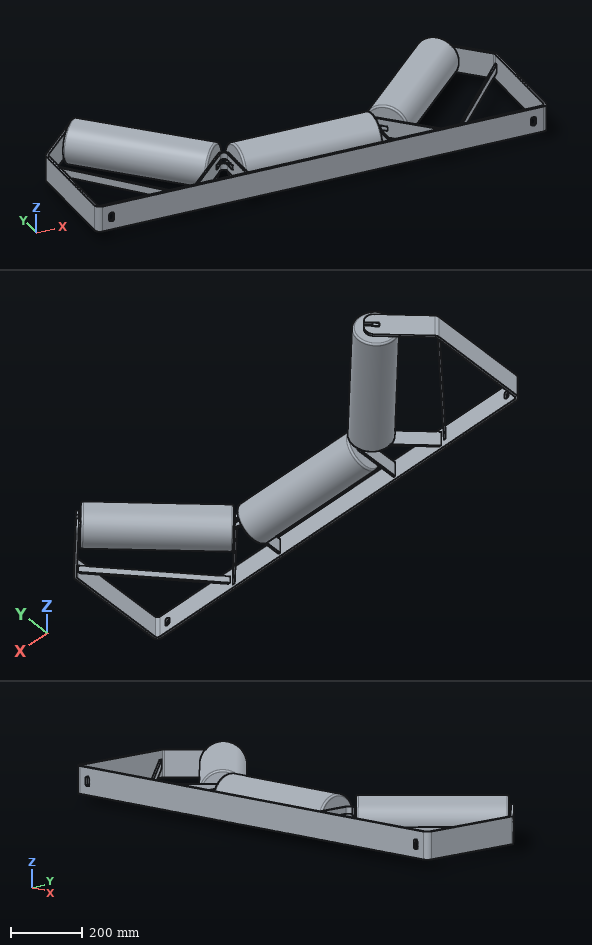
import cadquery as cq
import math


FRAME_LENGTH = 1400.0
FRAME_WIDTH = 80.0
FRAME_THICKNESS = 8.0
FRAME_BEND_RADIUS = 17.0
WALL_HEIGHT = 340.0
ARM_TIP_Y = 486.0
ARM_TIP_RADIUS = 30.0
MOUNT_SLOT_WIDTH = 17.0
MOUNT_SLOT_HEIGHT = 28.0
MOUNT_SLOT_INSET = 46.0

ROLLER_DIAMETER = 133.0
ROLLER_LENGTH = 428.0
ROLLER_EDGE_RADIUS = 5.0
TROUGH_ANGLE = 45.0
CENTRE_ROLLER_Y = 125.0
WING_ROLLER_X = 417.0
WING_ROLLER_Y = 301.0
SHAFT_DIAMETER = 21.0
SHAFT_FLATS = 14.0
SHAFT_LENGTH = 451.0

BRACKET_WIDTH = 55.0
BRACKET_THICKNESS = 6.0
BRACKET_BEND_RADIUS = 17.0
BRACKET_GAP = 4.0
NOTCH_DEPTH = 25.0
NOTCH_HEIGHT = 56.0

BRACE_WIDTH = 25.0
BRACE_THICKNESS = 6.0
BRACE_TOP_Y = 332.0
BRACE_FOOT_X = 412.0

LEG_FACE_DISTANCE = ROLLER_LENGTH / 2 + BRACKET_GAP
HALF_LENGTH = FRAME_LENGTH / 2
SIN = math.sin(math.radians(TROUGH_ANGLE))
COS = math.cos(math.radians(TROUGH_ANGLE))
TAN = math.tan(math.radians(TROUGH_ANGLE))


def slab(outline, width):
    """Extrude an XY outline symmetrically about Z = 0."""
    return outline.extrude(width / 2, both=True)


def offset_corner(before, corner, after, distance):
    """Point where both lines meeting at a corner cross once shifted to their left."""
    angle_in = math.atan2(corner[1] - before[1], corner[0] - before[0])
    angle_out = math.atan2(after[1] - corner[1], after[0] - corner[0])
    half_turn = math.remainder(angle_out - angle_in, 2 * math.pi) / 2
    reach = distance / math.cos(half_turn)
    normal = angle_in + half_turn + math.pi / 2
    return (corner[0] + reach * math.cos(normal), corner[1] + reach * math.sin(normal))


def bent_bar(outer, thickness, width, bend_radius):
    """Flat bar folded along its outer face, with the material to the left of the path."""
    starts = [(2 * outer[0][0] - outer[1][0], 2 * outer[0][1] - outer[1][1])] + outer[:-1]
    ends = outer[1:] + [(2 * outer[-1][0] - outer[-2][0], 2 * outer[-1][1] - outer[-2][1])]
    inner = [offset_corner(a, b, c, thickness) for a, b, c in zip(starts, outer, ends)]
    bar = slab(cq.Workplane("XY").polyline(outer + inner[::-1]).close(), width)
    for face, radius in ((outer, bend_radius), (inner, bend_radius - thickness)):
        for x, y in face[1:-1]:
            bar = bar.edges(cq.selectors.NearestToPointSelector((x, y, 0))).fillet(radius)
    return bar


def mirror_x(body):
    """Copy of a body reflected about X = 0."""
    return body.mirror("YZ")


def place_wing(body):
    """Move a body from the origin onto the axis of the right-hand wing roller."""
    tilted = body.rotate((0, 0, 0), (0, 0, 1), TROUGH_ANGLE)
    return tilted.translate((WING_ROLLER_X, WING_ROLLER_Y, 0))


def place_centre(body):
    """Move a body from the origin onto the axis of the centre roller."""
    return body.translate((0, CENTRE_ROLLER_Y, 0))


def rod(diameter, length):
    """Cylinder along X, centred on the origin."""
    return cq.Workplane("YZ", origin=(-length / 2, 0, 0)).circle(diameter / 2).extrude(length)


def shaft(length):
    """Shaft along X with a flat above and below."""
    flats = cq.Workplane("XY").box(length, SHAFT_DIAMETER, SHAFT_FLATS)
    return rod(SHAFT_DIAMETER, length).intersect(flats)


def roller():
    """Roller along X, centred on the origin, with its shaft."""
    shell = rod(ROLLER_DIAMETER, ROLLER_LENGTH)
    return shell.faces("<X or >X").edges().fillet(ROLLER_EDGE_RADIUS).union(shaft(SHAFT_LENGTH))


def shaft_notches():
    """Seat of a shaft at both ends of a roller along X, open towards +Y."""
    opening = cq.Workplane("XY").box(NOTCH_DEPTH, NOTCH_HEIGHT, SHAFT_FLATS, centered=(False, False, True))
    opening = opening.translate((LEG_FACE_DISTANCE, 0, 0))
    seat = shaft(2 * (LEG_FACE_DISTANCE + NOTCH_DEPTH))
    return seat.union(opening).union(mirror_x(opening))


def cut_notches(body):
    """Cut the shaft seats of all three rollers."""
    wing = place_wing(shaft_notches())
    return body.cut(place_centre(shaft_notches())).cut(wing).cut(mirror_x(wing))


def mount_slot(x):
    """Upright slot through the base of the frame."""
    sketch = cq.Workplane("XZ").center(x, 0).slot2D(MOUNT_SLOT_HEIGHT, MOUNT_SLOT_WIDTH, 90)
    return sketch.extrude(-FRAME_THICKNESS)


def frame():
    """Bent frame with rounded arm tips, mounting slots and shaft notches."""
    arm_tip_x = HALF_LENGTH - (ARM_TIP_Y - WALL_HEIGHT) * TAN
    right = [(HALF_LENGTH, 0), (HALF_LENGTH, WALL_HEIGHT), (arm_tip_x, ARM_TIP_Y)]
    left = [(-x, y) for x, y in reversed(right)]
    bar = bent_bar(left + right, FRAME_THICKNESS, FRAME_WIDTH, FRAME_BEND_RADIUS)
    tip_middle_x = arm_tip_x - FRAME_THICKNESS / 2 * COS
    tip_middle_y = ARM_TIP_Y - FRAME_THICKNESS / 2 * SIN
    for side in (-1, 1):
        for edge_z in (-FRAME_WIDTH / 2, FRAME_WIDTH / 2):
            tip_corner = cq.selectors.NearestToPointSelector((side * tip_middle_x, tip_middle_y, edge_z))
            bar = bar.edges(tip_corner).fillet(ARM_TIP_RADIUS)
        bar = bar.cut(mount_slot(side * (HALF_LENGTH - MOUNT_SLOT_INSET)))
    return cut_notches(bar)


def right_bracket():
    """Folded bracket between the centre roller and the right-hand wing roller."""
    upright_x = LEG_FACE_DISTANCE
    wing_x = WING_ROLLER_X - LEG_FACE_DISTANCE * COS
    wing_y = WING_ROLLER_Y - LEG_FACE_DISTANCE * SIN
    apex_y = wing_y + (wing_x - upright_x) / TAN
    foot = (upright_x + (apex_y + BRACKET_THICKNESS) * TAN, -BRACKET_THICKNESS)
    path = [foot, (upright_x, apex_y), (upright_x, FRAME_THICKNESS)]
    bar = bent_bar(path, BRACKET_THICKNESS, BRACKET_WIDTH, BRACKET_BEND_RADIUS)
    below_base = cq.Workplane("XY").box(FRAME_LENGTH, FRAME_LENGTH, FRAME_WIDTH)
    below_base = below_base.translate((0, FRAME_THICKNESS - FRAME_LENGTH / 2, 0))
    return cut_notches(bar.cut(below_base))


def right_brace():
    """Flat strut from the base to the top of the right-hand wall."""
    wall_x = HALF_LENGTH - FRAME_THICKNESS
    slope = math.atan2(BRACE_TOP_Y - FRAME_THICKNESS, wall_x - BRACE_FOOT_X)
    outline = cq.Workplane("XY").polyline([
        (BRACE_FOOT_X, FRAME_THICKNESS),
        (BRACE_FOOT_X + BRACE_THICKNESS / math.sin(slope), FRAME_THICKNESS),
        (wall_x, BRACE_TOP_Y - BRACE_THICKNESS / math.cos(slope)),
        (wall_x, BRACE_TOP_Y),
    ]).close()
    return slab(outline, BRACE_WIDTH)


trough_frame = frame()
centre_roller = place_centre(roller())
bodies = [trough_frame, centre_roller]
for right_body in (place_wing(roller()), right_bracket(), right_brace()):
    bodies += [right_body, mirror_x(right_body)]

result = cq.Compound.makeCompound([solid for body in bodies for solid in body.solids().vals()])